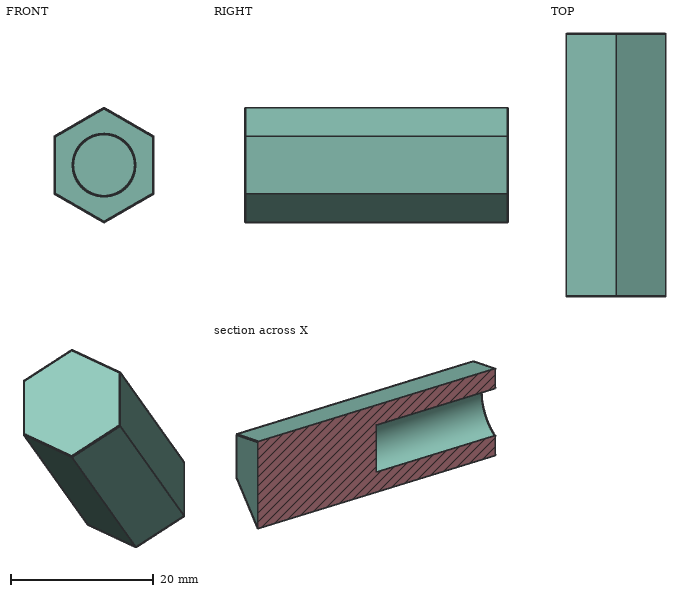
import cadquery as cq
import math

length = 37.0
across_flats = 14.0
across_corners = across_flats / math.cos(math.pi / 6)
edge_chamfer = 0.13

bore_diameter = 8.6
bore_depth = length / 2
rim_chamfer = 0.15


def end_plane():
    """Workplane on the -Y end face, with its normal pointing into the part."""
    return cq.Workplane(cq.Plane(origin=(0, -length / 2, 0), xDir=(0, 0, 1), normal=(0, 1, 0)))


def hexagonal_bar():
    bar = end_plane().polygon(6, across_corners).extrude(length)
    return bar.faces("<Y or >Y").chamfer(edge_chamfer)


def bore():
    hole = end_plane().circle(bore_diameter / 2).extrude(bore_depth)
    rim = end_plane().circle(bore_diameter / 2 + rim_chamfer).extrude(rim_chamfer, taper=45)
    return hole.union(rim)


result = hexagonal_bar().cut(bore())